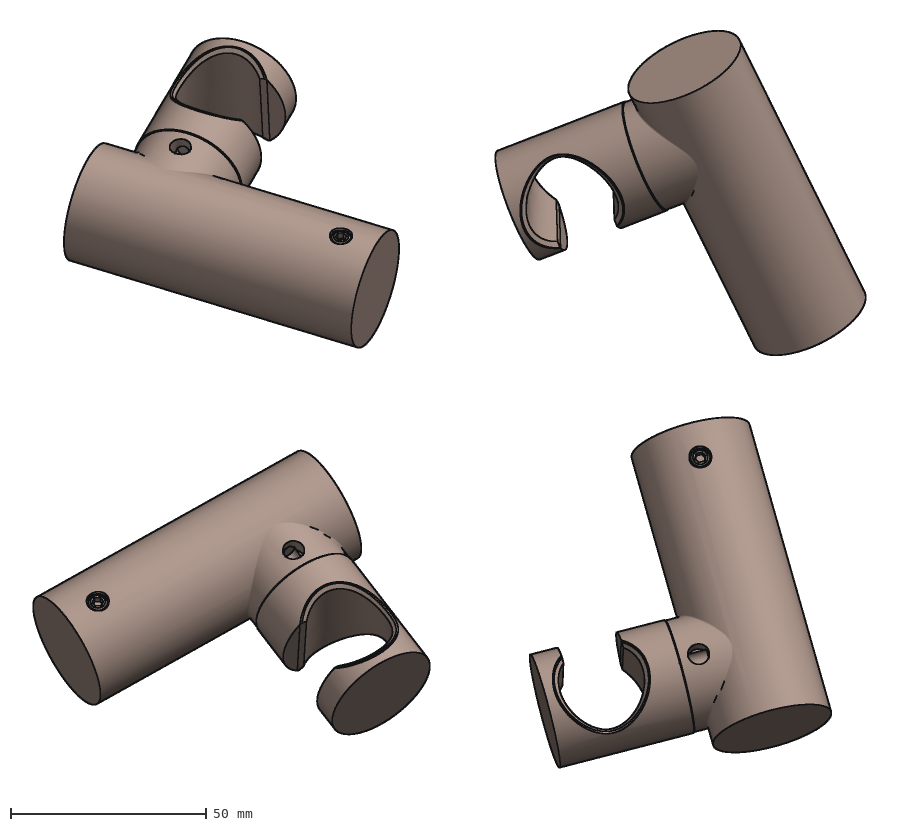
import cadquery as cq
import math

bar_length = 80.0
bar_radius = 31.5 / 2

arm_x = -20.25
neck_radius = 14.8
neck_end_y = 19.25
neck_blend_radius = 0.4
swivel_gap = 0.25
clip_radius = 15.0
clip_start_y = neck_end_y + swivel_gap
clip_centre_y = 40.0
clip_end_y = clip_centre_y + clip_radius

bore_top_radius = 12.5
bore_bottom_radius = 13.4
slot_width = 15.85

liner_wall = 1.5
liner_rim = 0.4
bevel_reach = 1.6
cutter_overlap = 1.0
saddle_curve_points = 120

stud_radius = 2.0
stud_z = 10.3
stud_start_y = 17.3
stud_end_y = clip_start_y + 4.0
access_hole_y = 14.2
access_hole_radius = 2.75
stud_bore_start_y = access_hole_y - access_hole_radius

screw_x = 30.5
screw_radius = 2.5
screw_length = 5.0
screw_sink = 0.35
screw_chamfer = 0.6
screw_top = bar_radius - screw_sink
screw_bottom = screw_top - screw_length
screw_hole_chamfer = 0.4
socket_across_flats = 2.5
socket_depth = 2.0


def rod_along_y(x, z, radius, start_y, end_y):
    """Cylinder with its axis along Y."""
    return cq.Workplane("XZ", origin=(x, start_y, z)).circle(radius).extrude(start_y - end_y)


def rod_along_z(x, y, radius, bottom_z, top_z):
    """Cylinder with its axis along Z."""
    return cq.Workplane("XY", origin=(x, y, bottom_z)).circle(radius).extrude(top_z - bottom_z)


def clip_cylinder():
    """Outer cylinder of the clip, which also bounds the liner's ends."""
    return rod_along_y(arm_x, 0, clip_radius, clip_start_y, clip_end_y)


def bore_cone(wall):
    """Cone of the clip bore, shrunk by a wall thickness, over the full clip height."""
    return (
        cq.Workplane("XY", origin=(arm_x, clip_centre_y, -clip_radius))
        .circle(bore_bottom_radius - wall)
        .workplane(offset=2 * clip_radius)
        .circle(bore_top_radius - wall)
        .loft(ruled=True)
    )


def clip_slot():
    """Slot from the bore axis out through the +X side."""
    return (
        cq.Workplane("XY", origin=(arm_x, clip_centre_y, 0))
        .box(clip_radius, slot_width, 2 * clip_radius, centered=(False, True, True))
    )


def stud_rod(start_y):
    """Cylinder of the stud, from start_y to its end inside the clip."""
    return rod_along_y(arm_x, stud_z, stud_radius, start_y, stud_end_y)


def make_holder():
    """Bar and neck in one piece, blended where they meet."""
    bar = cq.Workplane("YZ", origin=(-bar_length / 2, 0, 0)).circle(bar_radius).extrude(bar_length)
    screw_hole = rod_along_z(screw_x, 0, screw_radius, screw_bottom, bar_radius)
    hole_mouth = cq.selectors.BoxSelector(
        (screw_x - bar_radius / 2, -bar_radius / 2, screw_top - screw_length / 2),
        (screw_x + bar_radius / 2, bar_radius / 2, bar_radius + 1),
        boundingbox=True,
    )
    bar = bar.cut(screw_hole).edges(hole_mouth).chamfer(screw_hole_chamfer)

    neck = rod_along_y(arm_x, 0, neck_radius, 0, neck_end_y)
    saddle = cq.selectors.BoxSelector(
        (arm_x - bar_radius, 0, -bar_radius),
        (arm_x + bar_radius, (bar_radius + neck_end_y) / 2, bar_radius),
        boundingbox=True,
    )
    holder = bar.union(neck).edges(saddle).fillet(neck_blend_radius)
    access_hole = rod_along_z(arm_x, access_hole_y, access_hole_radius, stud_z, bar_radius)
    return holder.cut(access_hole).cut(stud_rod(stud_bore_start_y))


def make_grub_screw():
    """Headless screw with a chamfered top and a hexagon socket."""
    body = rod_along_z(screw_x, 0, screw_radius, screw_bottom, screw_top)
    body = body.faces(">Z").chamfer(screw_chamfer)
    socket = (
        cq.Workplane("XY", origin=(screw_x, 0, screw_top))
        .transformed(rotate=(0, 0, 90))
        .polygon(6, socket_across_flats / math.cos(math.pi / 6))
        .extrude(-socket_depth)
    )
    return body.cut(socket)


def make_clip():
    """C-shaped clip with a tapered bore and a socket for the stud."""
    return clip_cylinder().cut(bore_cone(0)).cut(clip_slot()).cut(stud_rod(clip_start_y))


def bore_radius(z):
    """Radius of the clip bore at a height."""
    share = (z + clip_radius) / (2 * clip_radius)
    return bore_bottom_radius + share * (bore_top_radius - bore_bottom_radius)


def liner_end_cutter(end_radius, side):
    """Ring-shaped cutter that shapes one end of the liner to follow the saddle-shaped bore edge.

    It leaves a rim level with the bore edge beside it, then a bevel falling inward.
    side is +1 for the upper end of the bore and -1 for the lower end.
    """
    lowest_edge_z = side * math.sqrt(clip_radius**2 - end_radius**2)
    edge_radius = bore_radius(lowest_edge_z)
    outer_radius = edge_radius + cutter_overlap
    rim_radius = end_radius - liner_rim
    inner_radius = rim_radius - bevel_reach

    def saddle_curve(radius, drop):
        """Closed curve as high as the bore edge at each angle around the bore, less a drop."""

        def point(t):
            angle = 2 * math.pi * t
            edge_z = math.sqrt(clip_radius**2 - (edge_radius * math.cos(angle)) ** 2)
            return (radius * math.cos(angle), radius * math.sin(angle), side * (edge_z - drop))

        axis = cq.Workplane("XY", origin=(arm_x, clip_centre_y, 0))
        return axis.parametricCurve(point, N=saddle_curve_points, makeWire=False).val()

    def level_circle(radius):
        """Circle around the bore axis, clear of the liner's end."""
        centre = cq.Vector(arm_x, clip_centre_y, side * (clip_radius + cutter_overlap))
        return cq.Edge.makeCircle(radius, centre)

    loop = [
        saddle_curve(outer_radius, 0),
        saddle_curve(rim_radius, 0),
        saddle_curve(inner_radius, bevel_reach),
        level_circle(inner_radius),
        level_circle(outer_radius),
    ]
    faces = [cq.Face.makeRuledSurface(loop[i - 1], loop[i]) for i in range(len(loop))]
    return cq.Workplane(cq.Solid.makeSolid(cq.Shell.makeShell(faces)))


def make_liner():
    """Tapered sleeve filling the clip bore, slotted like the clip."""
    liner = clip_cylinder().intersect(bore_cone(0)).cut(bore_cone(liner_wall))
    for end_radius, side in ((bore_top_radius, 1), (bore_bottom_radius, -1)):
        liner = liner.cut(liner_end_cutter(end_radius, side))
    return liner.cut(clip_slot())


holder = make_holder()
grub_screw = make_grub_screw()
clip = make_clip()
liner = make_liner()
stud = stud_rod(stud_start_y)

result = cq.Compound.makeCompound(
    [holder.val(), grub_screw.val(), clip.val(), liner.val(), stud.val()]
)